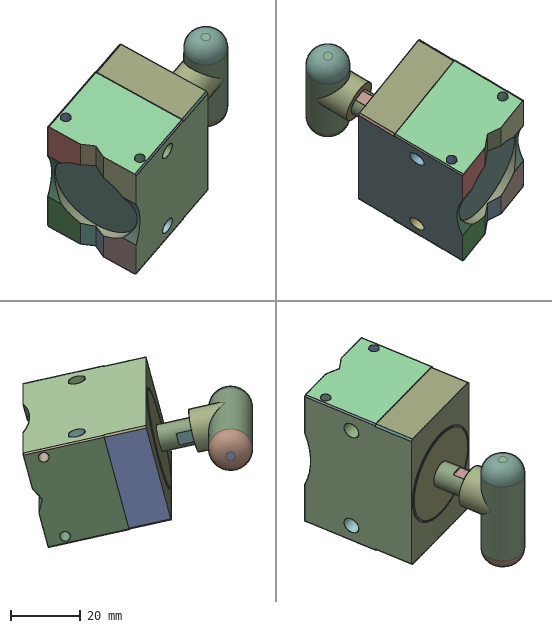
import cadquery as cq
WIDTH = 31.0
BODY_HEIGHT = 48.0
BODY_DEPTH = 24.0
BODY_CHAMFER = 0.45
PLATE_HEIGHT = 47.55
PLATE_DEPTH = 12.45
PLATE_CHAMFER = 0.6
BLOCK_DEPTH = BODY_DEPTH + PLATE_DEPTH

GROOVE_WIDTH = 8.1
CUT_DEPTH = 2.0
SADDLE_RADIUS = 25.0
POCKET_DIAMETER = 29.0
POCKET_DEPTH = 2.5

SIDE_HOLE_DIAMETER = 5.0
SIDE_HOLE_Y = 16.0
SIDE_HOLE_Z = 18.0
VERTICAL_HOLE_DIAMETER = 3.0
VERTICAL_HOLE_X = 13.0
VERTICAL_HOLE_Y = 5.6

TOTAL_LENGTH = 64.25
COLLAR_DIAMETER = 30.0
COLLAR_THICKNESS = 0.2
COLLAR_STEP_DIAMETER = POCKET_DIAMETER
COLLAR_STEP_THICKNESS = 0.1
SHAFT_DIAMETER = 7.95
ACROSS_FLATS = 7.0
FLAT_LENGTH = 4.75
HUB_START_Y = 46.95
HANDLE_DIAMETER = 12.7
HANDLE_AXIS_Y = TOTAL_LENGTH - HANDLE_DIAMETER / 2
HANDLE_LENGTH = 38.0
HANDLE_TOP_Z = 15.05
HANDLE_END_FILLET = 5.0


def chamfered_block(height, start_y, depth, chamfer):
    """Block centred on X and Z whose four long edges along Y are chamfered."""
    block = cq.Workplane("XY").box(WIDTH, depth, height, centered=(True, False, True))
    return block.edges("|Y").chamfer(chamfer).translate((0, start_y, 0))


def cylinder_y(diameter, start_y, end_y):
    """Cylinder along Y on the main axis of the part."""
    return (
        cq.Workplane("XZ", origin=(0, start_y, 0))
        .circle(diameter / 2)
        .extrude(start_y - end_y)
    )


def make_groove():
    """V-groove running the full height of the front face."""
    half_width = GROOVE_WIDTH / 2
    return (
        cq.Workplane("XY")
        .polyline([(-half_width, 0), (half_width, 0), (0, CUT_DEPTH)])
        .close()
        .extrude(BODY_HEIGHT / 2, both=True)
    )


def make_saddle():
    """Shallow cylindrical hollow running across the full width of the front face."""
    return (
        cq.Workplane("YZ")
        .center(CUT_DEPTH - SADDLE_RADIUS, 0)
        .circle(SADDLE_RADIUS)
        .extrude(WIDTH / 2, both=True)
    )


def make_side_holes():
    return (
        cq.Workplane("YZ")
        .pushPoints([(SIDE_HOLE_Y, -SIDE_HOLE_Z), (SIDE_HOLE_Y, SIDE_HOLE_Z)])
        .circle(SIDE_HOLE_DIAMETER / 2)
        .extrude(WIDTH / 2, both=True)
    )


def make_vertical_holes():
    return (
        cq.Workplane("XY")
        .pushPoints([(-VERTICAL_HOLE_X, VERTICAL_HOLE_Y), (VERTICAL_HOLE_X, VERTICAL_HOLE_Y)])
        .circle(VERTICAL_HOLE_DIAMETER / 2)
        .extrude(BODY_HEIGHT / 2, both=True)
    )


def make_collar():
    """Thin two-step disc where the shaft leaves the block."""
    step_start_y = BLOCK_DEPTH + COLLAR_THICKNESS
    base = cylinder_y(COLLAR_DIAMETER, BLOCK_DEPTH, step_start_y)
    return base.union(cylinder_y(COLLAR_STEP_DIAMETER, step_start_y, step_start_y + COLLAR_STEP_THICKNESS))


def make_shaft():
    """Round shaft with a flat above and below, next to the handle hub."""
    flats_start_y = HUB_START_Y - FLAT_LENGTH
    flatted_end = cylinder_y(SHAFT_DIAMETER, flats_start_y, HUB_START_Y).intersect(
        cq.Workplane("XY").box(SHAFT_DIAMETER, 2 * TOTAL_LENGTH, ACROSS_FLATS)
    )
    return cylinder_y(SHAFT_DIAMETER, BLOCK_DEPTH, flats_start_y).union(flatted_end)


def make_handle():
    """Upright grip with rounded ends, joined by a hub of the same diameter."""
    grip = (
        cq.Workplane("XY", origin=(0, HANDLE_AXIS_Y, HANDLE_TOP_Z - HANDLE_LENGTH))
        .circle(HANDLE_DIAMETER / 2)
        .extrude(HANDLE_LENGTH)
        .faces("|Z")
        .edges()
        .fillet(HANDLE_END_FILLET)
    )
    return grip.union(cylinder_y(HANDLE_DIAMETER, HUB_START_Y, HANDLE_AXIS_Y))


body = chamfered_block(BODY_HEIGHT, 0, BODY_DEPTH, BODY_CHAMFER)
plate = chamfered_block(PLATE_HEIGHT, BODY_DEPTH, PLATE_DEPTH, PLATE_CHAMFER)
pocket = cylinder_y(POCKET_DIAMETER, 0, POCKET_DEPTH)

body = body.cut(make_groove()).cut(make_saddle()).cut(pocket)
body = body.cut(make_side_holes()).cut(make_vertical_holes())
result = body.union(plate).union(make_collar()).union(make_shaft()).union(make_handle())